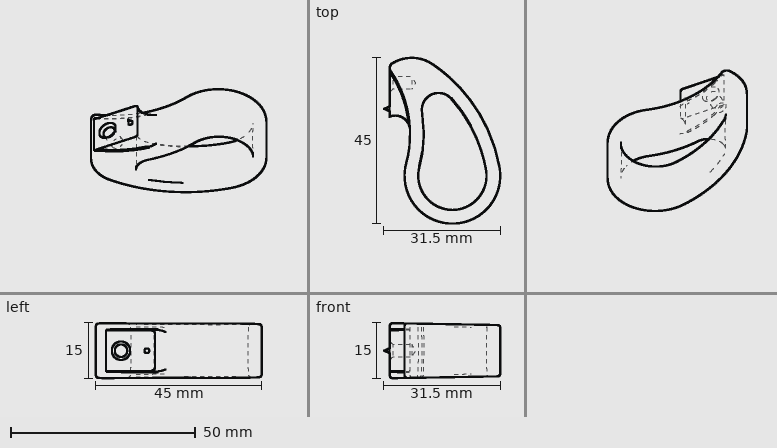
import cadquery as cq
import math

half_height = 7.5
top_slope = 1.0
rim_fillet = 0.8

loop_radius = 13.0
loop_center = (17.0, -25.14)
crest_radius = 10.0
crest_center = (6.0, -3.14)
back_radius = 43.0
waist_radius = 30.0
corner_radius = 1.5

wall = 3.55
opening_end_radius = 4.75
crown = 0.25

pad_half_height = 5.5
pad_slope = 1.0
pad_top_y = 4.03
pad_root_fillet = 0.3
pad_root_embed = 0.1
pad_edge_fillet = 0.8
notch_radius = 4.0
notch_center_y = -12.86

recess_mouth_radius = 2.5
recess_radius = 1.7
recess_bevel_depth = 0.9
recess_depth = 6.0
recess_tip_angle = 118.0

spike_y = -7.0
spike_radius = 0.65
spike_length = 1.5

clearance = 1.0


def meet(center_a, radius_a, center_b, radius_b, side):
    """Crossing of two circles; side +1 is left of the line from a to b, -1 right."""
    dx = center_b[0] - center_a[0]
    dy = center_b[1] - center_a[1]
    gap = math.hypot(dx, dy)
    along = (radius_a**2 - radius_b**2 + gap**2) / (2 * gap)
    across = side * math.sqrt(radius_a**2 - along**2)
    return (
        center_a[0] + (along * dx - across * dy) / gap,
        center_a[1] + (along * dy + across * dx) / gap,
    )


def toward(start, target, distance):
    """Point at a signed distance from start along the line to target."""
    gap = math.dist(start, target)
    return (
        start[0] + (target[0] - start[0]) * distance / gap,
        start[1] + (target[1] - start[1]) * distance / gap,
    )


def arc_middle(center, radius, start, end, facing):
    """Point of the arc halfway from start to end, on the side that faces `facing`."""
    chord_middle = ((start[0] + end[0]) / 2, (start[1] + end[1]) / 2)
    middle = toward(center, chord_middle, radius)
    opposite = toward(center, chord_middle, -radius)
    return min(middle, opposite, key=lambda point: math.dist(point, facing))


corner_center = (
    corner_radius,
    crest_center[1]
    + math.sqrt((crest_radius - corner_radius) ** 2 - (crest_center[0] - corner_radius) ** 2),
)
back_center = meet(crest_center, back_radius - crest_radius, loop_center, back_radius - loop_radius, -1)
waist_center = meet(corner_center, waist_radius + corner_radius, loop_center, waist_radius + loop_radius, -1)
opening_end_center = meet(
    back_center,
    back_radius - wall - opening_end_radius,
    waist_center,
    waist_radius + wall + opening_end_radius,
    -1,
)

notch_center_x = waist_center[0] + math.sqrt(
    (waist_radius - notch_radius) ** 2 - (notch_center_y - waist_center[1]) ** 2
)
notch_center = (notch_center_x, notch_center_y)


def wedge(half_height_at_zero, slope):
    """Slab symmetric about z = 0 whose half height changes with x by the slope in degrees."""
    x_start = -clearance
    x_end = loop_center[0] + loop_radius + clearance
    z_start = half_height_at_zero + x_start * math.tan(math.radians(slope))
    z_end = half_height_at_zero + x_end * math.tan(math.radians(slope))
    reach = loop_radius + clearance - loop_center[1]
    return (
        cq.Workplane("XZ")
        .polyline([(x_start, -z_start), (x_end, -z_end), (x_end, z_end), (x_start, z_start)])
        .close()
        .extrude(reach, both=True)
    )


def outline(plane):
    """Closed outer outline: corner, crest, back, loop and waist arcs, all tangent."""
    corner_start = toward(waist_center, corner_center, waist_radius)
    corner_end = toward(crest_center, corner_center, crest_radius)
    crest_end = toward(back_center, crest_center, back_radius)
    back_end = toward(back_center, loop_center, back_radius)
    loop_end = toward(waist_center, loop_center, waist_radius)
    crest_top = (crest_center[0], crest_center[1] + crest_radius)
    loop_bottom = (loop_center[0], loop_center[1] - loop_radius)
    return (
        plane.moveTo(*corner_start)
        .threePointArc((0, corner_center[1]), corner_end)
        .threePointArc(crest_top, crest_end)
        .threePointArc(arc_middle(back_center, back_radius, crest_end, back_end, crest_end), back_end)
        .threePointArc(loop_bottom, loop_end)
        .threePointArc(
            arc_middle(waist_center, waist_radius, loop_end, corner_start, loop_end), corner_start
        )
        .close()
    )


def opening_outline(plane, inset):
    """Closed outline of the opening, moved inwards by inset, starting at the loop's bottom."""
    loop_r = loop_radius - wall - inset
    back_r = back_radius - wall - inset
    waist_r = waist_radius + wall + inset
    end_r = opening_end_radius - inset
    loop_bottom = (loop_center[0], loop_center[1] - loop_r)
    loop_start = toward(waist_center, loop_center, waist_r)
    loop_end = toward(back_center, loop_center, back_r)
    back_end = toward(back_center, opening_end_center, back_r)
    waist_start = toward(waist_center, opening_end_center, waist_r)
    end_top = (opening_end_center[0], opening_end_center[1] + end_r)
    loop_left = arc_middle(loop_center, loop_r, loop_start, loop_bottom, loop_start)
    loop_right = arc_middle(loop_center, loop_r, loop_bottom, loop_end, loop_end)
    return (
        plane.moveTo(*loop_bottom)
        .threePointArc(loop_right, loop_end)
        .threePointArc(arc_middle(back_center, back_r, loop_end, back_end, back_end), back_end)
        .threePointArc(end_top, waist_start)
        .threePointArc(
            arc_middle(waist_center, waist_r, waist_start, loop_start, loop_start), loop_start
        )
        .threePointArc(loop_left, loop_bottom)
        .close()
    )


def opening_cutter():
    """Core plug plus a swept band whose outer side is hollowed by the crown."""
    core = opening_outline(cq.Workplane("XY").workplane(offset=-half_height), clearance / 2)
    core = core.extrude(2 * half_height)
    path = opening_outline(cq.Workplane("XY"), 0)
    wall_y = loop_center[1] - loop_radius + wall
    band = (
        cq.Workplane("YZ", origin=(loop_center[0], wall_y, 0))
        .moveTo(0, -half_height)
        .threePointArc((crown, 0), (0, half_height))
        .lineTo(clearance, half_height)
        .lineTo(clearance, -half_height)
        .close()
        .sweep(path)
    )
    return core.union(band)


def make_body():
    """Ring with sloped flat faces and rounded rims."""
    blank = outline(cq.Workplane("XY").workplane(offset=-half_height)).extrude(2 * half_height)
    ring = blank.intersect(wedge(half_height, -top_slope)).cut(opening_cutter())
    return ring.faces(">Z or <Z").edges().fillet(rim_fillet)


def make_pad():
    """Block from the flat face x = 0 into the waist, hollowed below by the notch."""
    face_bottom = notch_center_y + math.sqrt(notch_radius**2 - notch_center[0] ** 2)
    notch_end = toward(waist_center, notch_center, waist_radius)
    notch_middle = arc_middle(
        notch_center, notch_radius, (0, face_bottom), notch_end, (notch_end[0], face_bottom)
    )
    inner_x = notch_end[0] + wall / 2
    pad = (
        cq.Workplane("XY")
        .workplane(offset=-half_height)
        .moveTo(0, pad_top_y)
        .lineTo(0, face_bottom)
        .threePointArc(notch_middle, notch_end)
        .lineTo(inner_x, notch_end[1])
        .lineTo(inner_x, notch_center_y + notch_radius)
        .lineTo(corner_radius, pad_top_y)
        .close()
        .extrude(2 * half_height)
        .intersect(wedge(pad_half_height, pad_slope))
    )
    return pad.faces("%CYLINDER").edges("not |Z").fillet(pad_edge_fillet)


def make_root_fillets():
    """Hollow fillets where the pad's two sides meet the waist, each a clipped turned ring."""
    foot = waist_radius - pad_root_fillet
    sag = pad_root_fillet * (1 - math.sqrt(0.5))
    ring = (
        cq.Workplane("XZ")
        .moveTo(foot, -pad_root_embed)
        .lineTo(foot, 0)
        .threePointArc((waist_radius - sag, sag), (waist_radius, pad_root_fillet))
        .lineTo(waist_radius + pad_root_embed, pad_root_fillet)
        .lineTo(waist_radius + pad_root_embed, -pad_root_embed)
        .close()
        .revolve(360, (0, 0, 0), (0, 1, 0))
        .translate((*waist_center, 0))
        .rotate((0, 0, 0), (0, 1, 0), -pad_slope)
        .translate((0, 0, pad_half_height))
    )
    clip = (
        cq.Workplane("XY", origin=(0, notch_center_y, 0))
        .box(loop_center[0], pad_top_y - notch_center_y, 2 * half_height, centered=(False, False, True))
    )
    edge_round = (
        cq.Workplane("XY")
        .workplane(offset=-half_height)
        .center(*notch_center)
        .circle(notch_radius + pad_edge_fillet)
        .extrude(2 * half_height)
    )
    upper = ring.intersect(clip).cut(edge_round)
    return upper.union(upper.mirror("XY"))


def recess_cutter():
    """Bevelled blind hole along +X with a conical bottom, centred on the origin."""
    tip_length = recess_radius / math.tan(math.radians(recess_tip_angle / 2))
    return (
        cq.Workplane("XY")
        .polyline(
            [
                (0, 0),
                (0, recess_mouth_radius),
                (recess_bevel_depth, recess_radius),
                (recess_depth, recess_radius),
                (recess_depth + tip_length, 0),
            ]
        )
        .close()
        .revolve(360, (0, 0, 0), (1, 0, 0))
    )


def make_spike():
    """Locating cone standing on the pad face, pointing to -X."""
    return cq.Workplane(
        cq.Solid.makeCone(spike_radius, 0, spike_length, cq.Vector(0, spike_y, 0), cq.Vector(-1, 0, 0))
    )


body = make_body().union(make_pad()).union(make_root_fillets())
result = body.cut(recess_cutter()).union(make_spike())